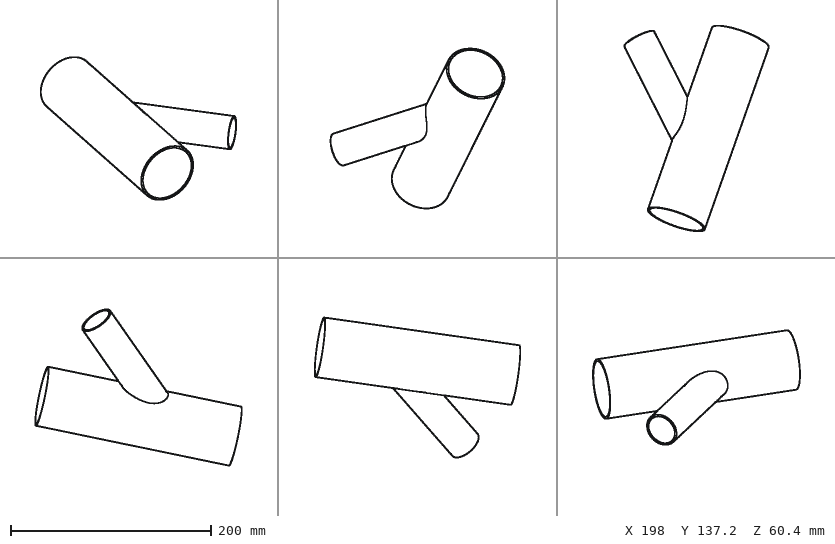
import cadquery as cq
import math

main_length = 198.0
main_outer_diameter = 60.4
main_bore_diameter = 56.2

branch_outer_diameter = 33.7
branch_bore_diameter = 29.7
branch_angle = 45.0
branch_offset = -29.9
branch_length = 134.5


def main_cylinder(diameter):
    """Solid cylinder along the full main pipe, centred on the origin."""
    return cq.Workplane("YZ").circle(diameter / 2).extrude(main_length / 2, both=True)


def branch_cylinder(diameter):
    """Solid cylinder from the axis crossing to the branch end."""
    angle = math.radians(branch_angle)
    branch_plane = cq.Plane(
        origin=(branch_offset, 0, 0),
        xDir=(0, 0, 1),
        normal=(math.cos(angle), math.sin(angle), 0),
    )
    return cq.Workplane(branch_plane).circle(diameter / 2).extrude(branch_length)


outside = main_cylinder(main_outer_diameter).union(branch_cylinder(branch_outer_diameter))
result = outside.cut(main_cylinder(main_bore_diameter)).cut(branch_cylinder(branch_bore_diameter))